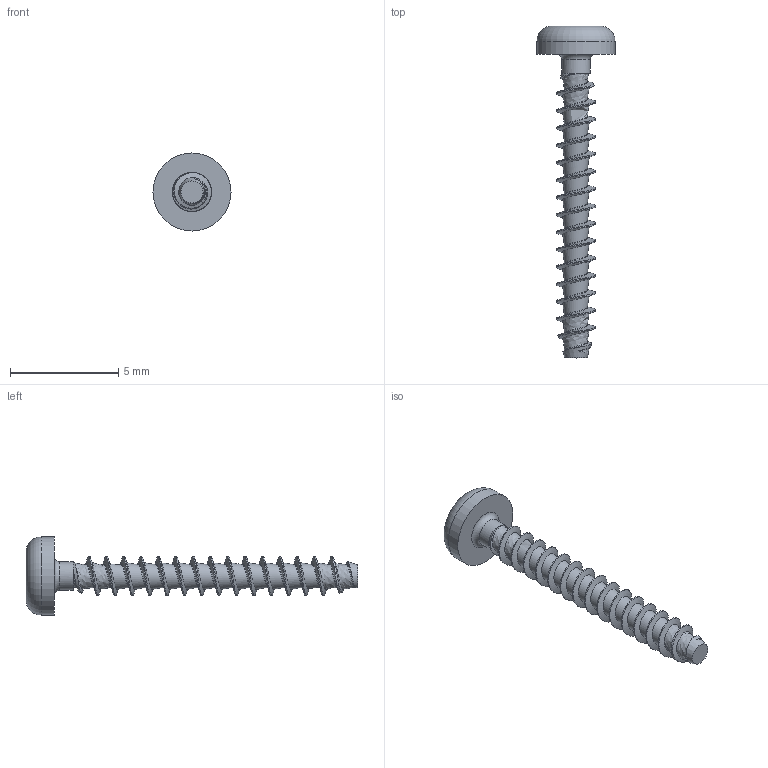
import cadquery as cq
import math


HEAD_DIAMETER = 3.6
HEAD_HEIGHT = 1.3
HEAD_ROUNDING = 0.7

SCREW_LENGTH = 14.0
NECK_DIAMETER = 1.3
NECK_LENGTH = 0.87
NECK_FILLET = 0.25
CORE_DIAMETER = 1.05
CORE_OVERRUN = 1.0

THREAD_DIAMETER = 1.8
PITCH = 0.8
CREST_WIDTH = 0.05
RIDGE_BASE_WIDTH = 0.2
RELIEF_DIAMETER = 1.23
ROOT_OVERLAP = 0.03
RELIEF_SINK = 0.005
TURN_GAP = 0.01
THREAD_TURNS = 18
THREAD_START_Z = -14.2

TOP_RUNOUT_LENGTH = 0.7
TIP_RUNOUT_LENGTH = 1.2
TIP_DIAMETER = 1.02
CREST_CLEARANCE = 0.1

HEAD_RADIUS = HEAD_DIAMETER / 2
NECK_RADIUS = NECK_DIAMETER / 2
CORE_RADIUS = CORE_DIAMETER / 2
THREAD_RADIUS = THREAD_DIAMETER / 2


def revolve_about_z(outline):
    """Spin a closed XZ outline a full turn about the Z axis."""
    return outline.close().revolve(360, (0, 0, 0), (0, 1, 0))


def make_head_and_neck():
    """Rounded pan head and the smooth neck, with a fillet between them."""
    diagonal = math.sqrt(0.5)
    round_center_x = HEAD_RADIUS - HEAD_ROUNDING
    round_center_z = HEAD_HEIGHT - HEAD_ROUNDING
    round_middle = (
        round_center_x + HEAD_ROUNDING * diagonal,
        round_center_z + HEAD_ROUNDING * diagonal,
    )
    fillet_middle = (
        NECK_RADIUS + NECK_FILLET * (1 - diagonal),
        -NECK_FILLET * (1 - diagonal),
    )
    outline = (
        cq.Workplane("XZ")
        .moveTo(0, HEAD_HEIGHT)
        .lineTo(round_center_x, HEAD_HEIGHT)
        .threePointArc(round_middle, (HEAD_RADIUS, round_center_z))
        .lineTo(HEAD_RADIUS, 0)
        .lineTo(NECK_RADIUS + NECK_FILLET, 0)
        .threePointArc(fillet_middle, (NECK_RADIUS, -NECK_FILLET))
        .lineTo(NECK_RADIUS, -NECK_LENGTH)
        .lineTo(0, -NECK_LENGTH)
    )
    return revolve_about_z(outline)


def make_core():
    """Plain core rod, longer than the threaded length at both ends."""
    rod_length = SCREW_LENGTH + 2 * CORE_OVERRUN
    return cq.Workplane("XY", origin=(0, 0, CORE_OVERRUN)).circle(CORE_RADIUS).extrude(-rod_length)


def make_helical_thread():
    """Sweep one ridge, with the tapering relief below it, along a right-hand helix."""
    root_radius = CORE_RADIUS - ROOT_OVERLAP
    half_base = RIDGE_BASE_WIDTH / 2
    half_crest = CREST_WIDTH / 2
    relief_end = half_base - PITCH + TURN_GAP
    profile = (
        cq.Workplane("XZ")
        .polyline(
            [
                (root_radius, half_base),
                (THREAD_RADIUS, half_crest),
                (THREAD_RADIUS, -half_crest),
                (RELIEF_DIAMETER / 2, -half_base),
                (CORE_RADIUS - RELIEF_SINK, relief_end),
                (root_radius, relief_end),
            ]
        )
        .close()
    )
    helix = cq.Wire.makeHelix(PITCH, PITCH * THREAD_TURNS, THREAD_RADIUS)
    thread = profile.sweep(cq.Workplane(helix), isFrenet=True)
    return thread.translate((0, 0, THREAD_START_Z))


def make_thread_envelope():
    """Space the thread may fill: a clear cylinder with a run-out cone at each end."""
    top_slope = TOP_RUNOUT_LENGTH / (THREAD_RADIUS - NECK_RADIUS)
    tip_slope = TIP_RUNOUT_LENGTH / (THREAD_RADIUS - TIP_DIAMETER / 2)
    clear_radius = THREAD_RADIUS + CREST_CLEARANCE
    top_cone_end = -NECK_LENGTH - TOP_RUNOUT_LENGTH - top_slope * CREST_CLEARANCE
    tip_cone_end = -SCREW_LENGTH + TIP_RUNOUT_LENGTH + tip_slope * CREST_CLEARANCE
    outline = (
        cq.Workplane("XZ")
        .moveTo(0, -NECK_LENGTH)
        .lineTo(NECK_RADIUS, -NECK_LENGTH)
        .lineTo(clear_radius, top_cone_end)
        .lineTo(clear_radius, tip_cone_end)
        .lineTo(TIP_DIAMETER / 2, -SCREW_LENGTH)
        .lineTo(0, -SCREW_LENGTH)
    )
    return revolve_about_z(outline)


threaded_rod = make_core().union(make_helical_thread()).intersect(make_thread_envelope())
screw = make_head_and_neck().union(threaded_rod)
result = screw.rotate((0, 0, 0), (1, 0, 0), -90)